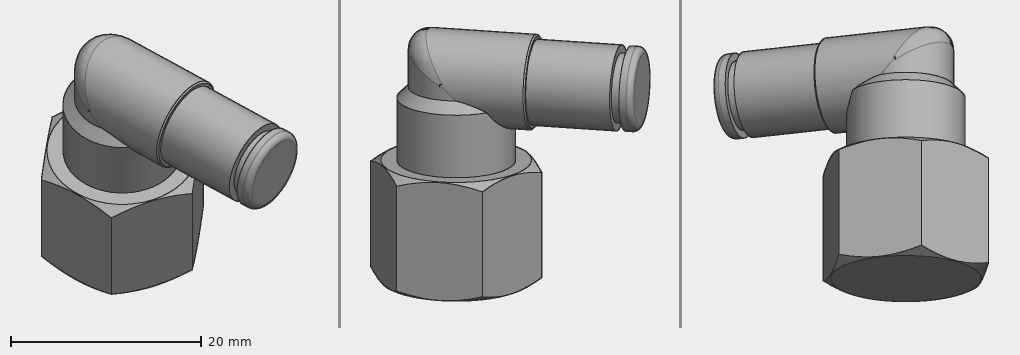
import cadquery as cq
import math

HEX_ACROSS_FLATS = 16.0
HEX_ACROSS_CORNERS = HEX_ACROSS_FLATS / math.cos(math.radians(30))
HEX_HEIGHT = 13.07
HEX_FACE_DIAMETER = 15.82
HEX_CHAMFER_ANGLE = 30

NECK_DIAMETER = 12.5
NECK_SHOULDER_Z = 19.95
ELBOW_DIAMETER = 10.1
TOTAL_HEIGHT = 27.25
AXIS_Z = TOTAL_HEIGHT - ELBOW_DIAMETER / 2
NECK_CHAMFER = (NECK_DIAMETER - ELBOW_DIAMETER) / 2
BEND_RADIUS = 2.0
BEND_RUNOUT = 0.045
ELBOW_STEP_X = 8.5
ELBOW_STEP_CHAMFER = 0.18
SOCKET_DIAMETER = 9.1
SOCKET_END_X = 17.55

TOTAL_LENGTH = 29.25
RING_END_X = TOTAL_LENGTH - HEX_ACROSS_CORNERS / 2
STEM_DIAMETER = 7.4
FLANGE_START_X = 18.55
FLANGE_DIAMETER = 9.0
FLANGE_ROUNDING = 0.7


def cylinder_x(diameter, start_x, end_x):
    """Cylinder along the level axis of the elbow."""
    plane = cq.Workplane("YZ", origin=(start_x, 0, AXIS_Z))
    return plane.circle(diameter / 2).extrude(end_x - start_x)


def make_hex_base():
    """Hexagonal prism with its corners turned down to a cone at both ends."""
    prism = cq.Workplane("XY").polygon(6, HEX_ACROSS_CORNERS).extrude(HEX_HEIGHT)
    face_radius = HEX_FACE_DIAMETER / 2
    outer_radius = HEX_ACROSS_CORNERS / 2
    drop = (outer_radius - face_radius) * math.tan(math.radians(HEX_CHAMFER_ANGLE))
    envelope = (
        cq.Workplane("XZ")
        .moveTo(0, 0)
        .lineTo(face_radius, 0)
        .lineTo(outer_radius, drop)
        .lineTo(outer_radius, HEX_HEIGHT - drop)
        .lineTo(face_radius, HEX_HEIGHT)
        .lineTo(0, HEX_HEIGHT)
        .close()
        .revolve(360, (0, 0, 0), (0, 1, 0))
    )
    return prism.intersect(envelope)


def mitre_half(side):
    """Triangular block on one side of the mitre plane: +1 is the level leg, -1 the upright leg."""
    reach = 2 * TOTAL_LENGTH
    block = (
        cq.Workplane("XZ", origin=(0, 0, AXIS_Z))
        .polyline([(-reach, reach), (reach, -reach), (side * reach, side * reach)])
        .close()
    )
    return block.extrude(ELBOW_DIAMETER, both=True)


def make_bend():
    """Two equal tubes mitred at the bend, with the outer mitre edge rounded."""
    radius = ELBOW_DIAMETER / 2
    upright = cq.Workplane("XY", origin=(0, 0, HEX_HEIGHT)).circle(radius)
    upright = upright.extrude(TOTAL_LENGTH).intersect(mitre_half(-1))
    level = cylinder_x(ELBOW_DIAMETER, -TOTAL_LENGTH, ELBOW_STEP_X).intersect(mitre_half(1))
    level = level.faces(">X").chamfer(ELBOW_STEP_CHAMFER)
    bend = upright.union(level)

    rounded_width = ELBOW_DIAMETER - 2 * BEND_RUNOUT
    slab = cq.Workplane("XY", origin=(0, 0, AXIS_Z)).box(2 * TOTAL_LENGTH, rounded_width, 2 * TOTAL_LENGTH)
    outer_corner = cq.selectors.BoxSelector((-radius - 0.3, -0.3, AXIS_Z), (-0.3, 0.3, TOTAL_HEIGHT + 0.3))
    middle = bend.intersect(slab).edges(outer_corner).edges("%ELLIPSE").fillet(BEND_RADIUS)
    flanks = bend.cut(slab)
    return middle.union(flanks)


def make_elbow():
    neck_radius = NECK_DIAMETER / 2
    neck = (
        cq.Workplane("XZ")
        .moveTo(0, HEX_HEIGHT)
        .lineTo(neck_radius, HEX_HEIGHT)
        .lineTo(neck_radius, NECK_SHOULDER_Z)
        .lineTo(ELBOW_DIAMETER / 2, NECK_SHOULDER_Z + NECK_CHAMFER)
        .lineTo(0, NECK_SHOULDER_Z + NECK_CHAMFER)
        .close()
        .revolve(360, (0, 0, 0), (0, 1, 0))
    )
    socket = cylinder_x(SOCKET_DIAMETER, 0, SOCKET_END_X)
    return make_bend().union(neck).union(socket)


def make_release_ring():
    stem = cylinder_x(STEM_DIAMETER, SOCKET_END_X, FLANGE_START_X)
    flange = cylinder_x(FLANGE_DIAMETER, FLANGE_START_X, RING_END_X)
    flange = flange.faces(">X").edges().fillet(FLANGE_ROUNDING)
    return stem.union(flange)


hex_base = make_hex_base()
elbow = make_elbow()
release_ring = make_release_ring()

result = cq.Compound.makeCompound([hex_base.val(), elbow.val(), release_ring.val()])